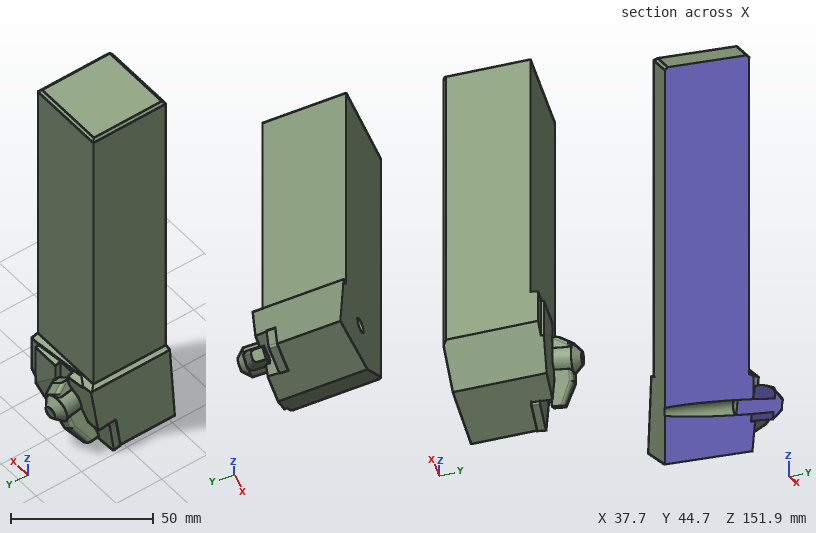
import cadquery as cq
import math

TOOL_LENGTH = 151.9
TOOL_WIDTH = 37.7
SHANK_WIDTH = 32.0
TOP_CHAMFER = 1.0
EDGE_CHAMFER = 1.4

SHOULDER_TOP = 31.6
SHOULDER_WIDTH = 2.3
SHOULDER_DROP = 0.6
HEAD_DEPTH = 35.9
HEAD_CORNER = (-5.2, 0.9)
LEAD_ANGLE = 5.0
HEAD_BOTTOM_WIDTH = 23.8
CORNER_CUT_HEIGHT = 15.8

LEAN = 0.09
BACK_AT_ORIGIN = 32.2
BED_DEPTH = 1.5

RELIEF_FLOOR_LEFT = (6.1, 32.7)
RELIEF_FLOOR_RIGHT = (28.3, 34.6)
RELIEF_WALL_END = (-0.5, 36.5)
RELIEF_LEDGE = 29.6
LEDGE_SLOPE = 0.5
RIGHT_CORNER_DEPTH = 34.8

NOTCH_LEFT = 9.9
NOTCH_WIDTH = 7.0
NOTCH_FLOOR = 33.7
NOTCH_BOTTOM = 21.3

RAKE_AT_TIP = 27.2
INSERT_SIDE = 12.9
INSERT_THICKNESS = 3.2
INSERT_RADIUS = 0.8
NOSE_SETBACK = INSERT_RADIUS * (math.cos(math.radians(45)) / math.sin(math.radians(45 - LEAD_ANGLE)) - 1)
INSERT_CORNER = (SHANK_WIDTH - TOOL_WIDTH - NOSE_SETBACK, RAKE_AT_TIP, -NOSE_SETBACK)

CLAMP_ANGLE = 233.0
CLAMP_X = 9.5
CLAMP_Z = 19.1
TAIL_LENGTH = 7.6
TAIL_HALF_WIDTH = 4.1
NOSE_LENGTH = 16.7
NOSE_HALF_WIDTH = 2.3
TAIL_HEIGHT = 3.6
RIDGE_HEIGHT = 7.9
RIDGE_END = 8.4
NOSE_HEIGHT = 4.5
BOSS_RADIUS = 5.5
BOSS_HEIGHT = 8.2
CLAMP_ROUND = 1.4

SCREW_RADIUS = 2.7
HEAD_TOP_RADIUS = 2.5
SCREW_HEAD_HEIGHT = 3.0
SCREW_REACH = 6.1

CUT = 60.8


def leaning_plane(origin, turn=0.0):
    """Plane parallel to the rake face, local x turned from +X towards +Z, normal towards the front."""
    plane = cq.Plane(origin=origin, xDir=(1, LEAN, 0), normal=(LEAN, -1, LEAN))
    return plane.rotated((0, 0, turn))


BED_ORIGIN = (CLAMP_X, BACK_AT_ORIGIN + LEAN * (CLAMP_X + CLAMP_Z) - BED_DEPTH, CLAMP_Z)
BED = leaning_plane(BED_ORIGIN, CLAMP_ANGLE)


def insert_prism(length):
    """Insert outline from the rake face; a positive length goes forward into the holder."""
    first = math.radians(LEAD_ANGLE)
    second = math.radians(90 - LEAD_ANGLE)
    side_a = (INSERT_SIDE * math.cos(first), INSERT_SIDE * math.sin(first))
    side_b = (INSERT_SIDE * math.cos(second), INSERT_SIDE * math.sin(second))
    far_corner = (side_a[0] + side_b[0], side_a[1] + side_b[1])
    outline = cq.Workplane(leaning_plane(INSERT_CORNER)).polyline([(0, 0), side_a, far_corner, side_b])
    prism = outline.close().extrude(length)
    return prism.edges(cq.selectors.ParallelDirSelector(cq.Vector(LEAN, -1, LEAN))).fillet(INSERT_RADIUS)


def clamp_plan(height):
    """Outline of the clamp on its bed, raised backwards from it."""
    points = [
        (-TAIL_LENGTH, -TAIL_HALF_WIDTH),
        (0, -TAIL_HALF_WIDTH),
        (NOSE_LENGTH, -NOSE_HALF_WIDTH),
        (NOSE_LENGTH, NOSE_HALF_WIDTH),
        (0, TAIL_HALF_WIDTH),
        (-TAIL_LENGTH, TAIL_HALF_WIDTH),
    ]
    return cq.Workplane(BED).polyline(points).close().extrude(-height)


def screw_cylinder(radius, length):
    return cq.Workplane(BED).circle(radius).extrude(length)


def make_shank():
    shank = cq.Workplane("XY").workplane(offset=CORNER_CUT_HEIGHT)
    shank = shank.rect(SHANK_WIDTH, SHANK_WIDTH, centered=False).extrude(TOOL_LENGTH - CORNER_CUT_HEIGHT)
    return shank.faces(">Z").chamfer(TOP_CHAMFER)


def make_head():
    tilt = math.tan(math.radians(LEAD_ANGLE))
    left, bottom = HEAD_CORNER
    cut_start_z = bottom + tilt * HEAD_BOTTOM_WIDTH
    outline = [
        HEAD_CORNER,
        (left + HEAD_BOTTOM_WIDTH, cut_start_z),
        (SHANK_WIDTH, CORNER_CUT_HEIGHT),
        (SHANK_WIDTH, SHOULDER_TOP),
        (0, SHOULDER_TOP),
        (-SHOULDER_WIDTH, SHOULDER_TOP - SHOULDER_DROP),
    ]
    head = cq.Workplane("XZ").polyline(outline).close().extrude(-HEAD_DEPTH)

    back_drop = (HEAD_DEPTH - SHANK_WIDTH) * SHOULDER_DROP / SHOULDER_WIDTH
    slope = [
        (SHANK_WIDTH, SHOULDER_TOP),
        (HEAD_DEPTH, SHOULDER_TOP),
        (HEAD_DEPTH, SHOULDER_TOP - back_drop),
    ]
    head = head.cut(cq.Workplane("YZ").polyline(slope).close().extrude(CUT, both=True))

    back_plane = leaning_plane((0, BACK_AT_ORIGIN, 0))
    head = head.cut(cq.Workplane(back_plane).rect(2 * CUT, 2 * CUT).extrude(-CUT))
    return head


def make_clamp_relief():
    """Open recess bounded by two upright walls and a ledge that slopes down towards the back."""
    outer_right = (RELIEF_FLOOR_RIGHT[0], RELIEF_WALL_END[1])
    plan_points = [RELIEF_FLOOR_LEFT, RELIEF_FLOOR_RIGHT, outer_right, RELIEF_WALL_END]
    plan = cq.Workplane("XY").polyline(plan_points).close().extrude(CUT)
    ledge_line = [
        (HEAD_DEPTH - CUT, RELIEF_LEDGE + LEDGE_SLOPE * CUT),
        (HEAD_DEPTH + CUT, RELIEF_LEDGE - LEDGE_SLOPE * CUT),
        (HEAD_DEPTH + CUT, RELIEF_LEDGE + LEDGE_SLOPE * CUT),
    ]
    return plan.intersect(cq.Workplane("YZ").polyline(ledge_line).close().extrude(CUT, both=True))


def make_right_corner_step():
    step = cq.Workplane("XY").box(CUT, CUT, CUT, centered=False)
    return step.translate((RELIEF_FLOOR_RIGHT[0], RIGHT_CORNER_DEPTH, 0))


def make_tail_notch():
    notch = cq.Workplane("XY").box(NOTCH_WIDTH, CUT, CUT, centered=False)
    return notch.translate((NOTCH_LEFT, NOTCH_FLOOR, NOTCH_BOTTOM))


def make_holder():
    head = make_head().cut(make_clamp_relief()).cut(make_tail_notch()).cut(make_right_corner_step())
    holder = head.union(make_shank())
    holder = holder.edges(cq.selectors.NearestToPointSelector((SHANK_WIDTH, 0, TOOL_LENGTH / 2)))
    holder = holder.chamfer(EDGE_CHAMFER)
    holder = holder.cut(insert_prism(INSERT_THICKNESS)).cut(insert_prism(-CUT))
    holder = holder.cut(clamp_plan(CUT)).cut(screw_cylinder(BOSS_RADIUS, -CUT))
    return holder.cut(screw_cylinder(SCREW_RADIUS, CUT))


def round_ridge(clamp):
    """Rounds the long edges of the ridge, leaving the edges on the bed and the upright edges sharp."""
    on_bed = clamp.faces(cq.selectors.DirectionMinMaxSelector(BED.zDir)).edges()
    upright = clamp.edges(cq.selectors.ParallelDirSelector(BED.zDir))
    across = clamp.edges(cq.selectors.ParallelDirSelector(BED.yDir))
    kept = [edge.hashCode() for edge in on_bed.vals() + upright.vals() + across.vals()]
    rounded = [edge for edge in clamp.edges().vals() if edge.hashCode() not in kept]
    return clamp.newObject([clamp.val().fillet(CLAMP_ROUND, rounded)])


def make_clamp():
    side = cq.Plane(origin=BED_ORIGIN, xDir=BED.xDir, normal=BED.yDir)
    profile = [
        (-TAIL_LENGTH, 0),
        (NOSE_LENGTH, 0),
        (NOSE_LENGTH, NOSE_HEIGHT),
        (RIDGE_END, BOSS_HEIGHT),
        (BOSS_RADIUS, BOSS_HEIGHT),
        (-BOSS_RADIUS, RIDGE_HEIGHT),
        (-TAIL_LENGTH, TAIL_HEIGHT),
    ]
    ridge = cq.Workplane(side).polyline(profile).close().extrude(CUT, both=True)
    clamp = clamp_plan(CUT).intersect(ridge)
    clamp = round_ridge(clamp)
    clamp = clamp.union(screw_cylinder(BOSS_RADIUS, -BOSS_HEIGHT))
    return clamp.cut(screw_cylinder(SCREW_RADIUS, -CUT))


def make_clamp_screw():
    head_base = cq.Workplane(BED).workplane(offset=-BOSS_HEIGHT)
    head = head_base.circle(BOSS_RADIUS).workplane(offset=-SCREW_HEAD_HEIGHT).circle(HEAD_TOP_RADIUS).loft()
    stem = head_base.circle(SCREW_RADIUS).extrude(BOSS_HEIGHT + SCREW_REACH)
    return head.union(stem)


holder = make_holder()
insert = insert_prism(INSERT_THICKNESS)
clamp = make_clamp()
clamp_screw = make_clamp_screw()

result = cq.Compound.makeCompound([holder.val(), insert.val(), clamp.val(), clamp_screw.val()])